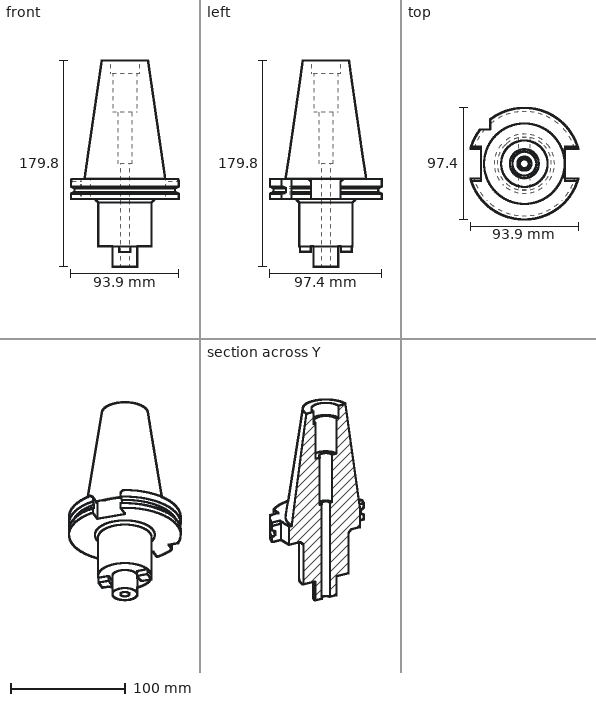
import cadquery as cq

total_height = 179.8
gauge_z = 78.0
flange_top_z = gauge_z - 1.5
flange_bottom_z = gauge_z - 19.0
neck_z = 56.3
body_bottom_z = 18.0

taper_ratio = 7 / 48
gauge_radius = 35.0
taper_top_radius = gauge_radius - (total_height - gauge_z) * taper_ratio
flange_radius = 48.7
body_radius = 23.4
neck_flare = flange_bottom_z - neck_z
pilot_radius = 11.0

groove_z = 66.9
groove_half_width = 3.2
groove_floor_half_width = 1.6
groove_floor_radius = 45.7

slot_width = 25.7
slot_chamfer = 2.2
left_slot_floor = 37.7
right_slot_floor = 35.2

notch_corner = 29.8

key_width = 10.0
key_inner_y = 13.1
key_outer_y = 22.6
key_drop = 4.9

socket_radius = 12.5
socket_depth = 11.5
thread_radius = 10.5
thread_depth = 45.0
passage_radius = 6.1
passage_depth = 89.9
through_radius = 4.0


def turned_blank():
    outline = [
        (0, 0),
        (pilot_radius, 0),
        (pilot_radius, body_bottom_z),
        (body_radius, body_bottom_z),
        (body_radius, neck_z),
        (body_radius + neck_flare, flange_bottom_z),
        (flange_radius, flange_bottom_z),
        (flange_radius, groove_z - groove_half_width),
        (groove_floor_radius, groove_z - groove_floor_half_width),
        (groove_floor_radius, groove_z + groove_floor_half_width),
        (flange_radius, groove_z + groove_half_width),
        (flange_radius, flange_top_z),
        (gauge_radius, flange_top_z),
        (gauge_radius, gauge_z),
        (taper_top_radius, total_height),
        (0, total_height),
    ]
    return cq.Workplane("XZ").polyline(outline).close().revolve(360, (0, 0, 0), (0, 1, 0))


def drive_slot(side, floor):
    """Slot through the flange, chamfered at its top edges; side is -1 or 1 along X."""
    half = slot_width / 2
    chamfer_z = flange_top_z - slot_chamfer
    profile = [
        (-half, flange_bottom_z),
        (half, flange_bottom_z),
        (half, chamfer_z),
        (half + slot_chamfer, flange_top_z),
        (-half - slot_chamfer, flange_top_z),
        (-half, chamfer_z),
    ]
    slot = cq.Workplane("YZ").polyline(profile).close().extrude(side * flange_radius)
    return slot.translate((side * floor, 0, 0))


def corner_notch():
    flange_thickness = flange_top_z - flange_bottom_z
    block = cq.Workplane("XY").box(flange_radius, flange_radius, flange_thickness, centered=False)
    return block.translate((-notch_corner - flange_radius, notch_corner, flange_bottom_z))


def driving_key(side):
    middle_y = side * (key_inner_y + key_outer_y) / 2
    return (
        cq.Workplane("XY", origin=(0, middle_y, body_bottom_z))
        .rect(key_width, key_outer_y - key_inner_y)
        .extrude(-key_drop)
    )


def bore(radius, depth):
    return cq.Workplane("XY", origin=(0, 0, total_height)).circle(radius).extrude(-depth)


result = turned_blank()
result = result.cut(drive_slot(-1, left_slot_floor))
result = result.cut(drive_slot(1, right_slot_floor))
result = result.cut(corner_notch())
for side in (-1, 1):
    result = result.union(driving_key(side))
result = result.cut(bore(socket_radius, socket_depth))
result = result.cut(bore(thread_radius, thread_depth))
result = result.cut(bore(passage_radius, passage_depth))
result = result.cut(bore(through_radius, total_height))